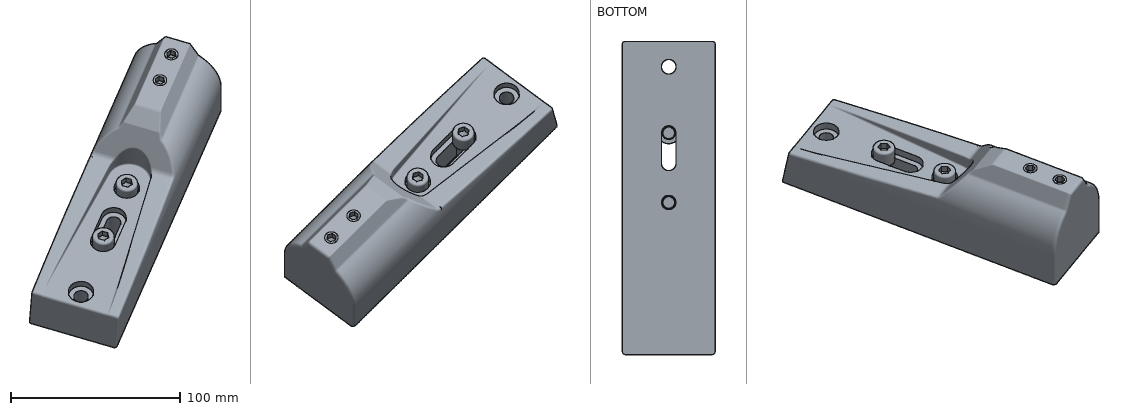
import cadquery as cq
import math


LENGTH = 185.0
WIDTH = 55.0
HEIGHT = 57.9
BACK_Y = LENGTH / 2
FRONT_Y = -LENGTH / 2
CROWN_RADIUS = WIDTH / 2
CROWN_CENTRE_Z = 24.5

RIDGE_TOP_WIDTH = 16.0
RIDGE_FLANK_ANGLE = 30.0
RIDGE_FOOT_Z = 44.4
RIDGE_ROOT_FILLET = 3.0

RIDGE_TOP_LENGTH = 53.0
NOSE_LENGTH = 11.0
NOSE_ANGLE = 30.0
SHOULDER_ANGLE = 49.0
VALLEY_FROM_BACK = 79.4
RAMP_ANGLE = 5.0
TOE_FACE_ANGLE = 10.0
PROFILE_FILLET = 5.0

SIDE_FILLET = 1.7
RIDGE_EDGE_FILLET = 1.0
BACK_FILLET = 2.0

POCKET_FLOOR_Z = 24.8
POCKET_RADIUS = 13.0
POCKET_CENTRE_FROM_BACK = 85.5
POCKET_WALL_ANGLE = 5.0
POCKET_FLOOR_FILLET = 1.0
POCKET_RIM_FILLET = 1.0

FIXED_HOLE_FROM_BACK = 90.0
SLOT_FRONT_FROM_BACK = 131.0
SLOT_TRAVEL = 18.0
SPARE_HOLE_FROM_BACK = 170.0
CLEARANCE_DIAMETER = 8.5
COUNTERBORE_DIAMETER = 15.0
SEAT_Z = 20.0

THREAD_DIAMETER = 8.0
HEAD_DIAMETER = 13.0
HEAD_HEIGHT = 10.4
HEAD_FILLET = 1.3
TIP_PROTRUSION = 8.0
TIP_CHAMFER = 0.5
CAP_SOCKET_FLATS = 6.0
SET_SOCKET_FLATS = 5.0
SOCKET_DEPTH = 4.0
SOCKET_TIP_ANGLE = 120.0
SET_SCREW_LENGTH = 14.0
FIRST_SET_SCREW_FROM_BACK = 12.0
SET_SCREW_PITCH = 20.0

SMALL = 0.4
SIDE_BAND = 3.7
SHOULDER_BAND = 2.4


def tan(degrees):
    return math.tan(math.radians(degrees))


NOSE_Y = BACK_Y - RIDGE_TOP_LENGTH
SHOULDER_Y = NOSE_Y - NOSE_LENGTH
SHOULDER_Z = HEIGHT - NOSE_LENGTH * tan(NOSE_ANGLE)
VALLEY_Y = BACK_Y - VALLEY_FROM_BACK
VALLEY_Z = SHOULDER_Z - (SHOULDER_Y - VALLEY_Y) * tan(SHOULDER_ANGLE)
RAMP_DROP_TO_FRONT = (VALLEY_Y - FRONT_Y) * tan(RAMP_ANGLE)
TOE_Z = (VALLEY_Z - RAMP_DROP_TO_FRONT) / (1 - tan(RAMP_ANGLE) * tan(TOE_FACE_ANGLE))
TOE_Y = FRONT_Y + TOE_Z * tan(TOE_FACE_ANGLE)

FIXED_HOLE_Y = BACK_Y - FIXED_HOLE_FROM_BACK
SLOT_FRONT_Y = BACK_Y - SLOT_FRONT_FROM_BACK
SPARE_HOLE_Y = BACK_Y - SPARE_HOLE_FROM_BACK
CAP_SCREW_YS = [FIXED_HOLE_Y, SLOT_FRONT_Y]
SET_SCREW_YS = [BACK_Y - FIRST_SET_SCREW_FROM_BACK - i * SET_SCREW_PITCH for i in range(2)]


def box(x_range, y_range, z_range):
    """Selector for the edges whose centre lies in the given box."""
    return cq.selectors.BoxSelector(*zip(x_range, y_range, z_range))


def both_sides(x_range, y_range, z_range):
    """The same box selector at +X and mirrored to -X."""
    near, far = x_range
    return box((near, far), y_range, z_range) + box((-far, -near), y_range, z_range)


def cylinder(diameter, bottom_z, top_z):
    return cq.Workplane("XY", origin=(0, 0, bottom_z)).circle(diameter / 2).extrude(top_z - bottom_z)




def crown_and_ridge():
    """Constant cross-section: round-topped block with a tapered ridge blended onto it."""
    section = cq.Workplane("XZ", origin=(0, BACK_Y, 0))
    crown = (
        section.moveTo(-CROWN_RADIUS, 0)
        .lineTo(CROWN_RADIUS, 0)
        .lineTo(CROWN_RADIUS, CROWN_CENTRE_Z)
        .threePointArc((0, CROWN_CENTRE_Z + CROWN_RADIUS), (-CROWN_RADIUS, CROWN_CENTRE_Z))
        .close()
        .extrude(LENGTH)
    )
    top = RIDGE_TOP_WIDTH / 2
    foot = top + (HEIGHT - RIDGE_FOOT_Z) * tan(RIDGE_FLANK_ANGLE)
    ridge = (
        section.polyline([(-foot, RIDGE_FOOT_Z), (foot, RIDGE_FOOT_Z), (top, HEIGHT), (-top, HEIGHT)])
        .close()
        .extrude(LENGTH)
    )
    root_edges = both_sides((top, foot), (FRONT_Y, BACK_Y - SMALL), (RIDGE_FOOT_Z, HEIGHT - SMALL))
    return crown.union(ridge).edges(root_edges).fillet(RIDGE_ROOT_FILLET)


def lengthwise_profile():
    """Side outline of the housing, extruded across the width."""
    outline = [
        (BACK_Y, 0),
        (BACK_Y, HEIGHT),
        (NOSE_Y, HEIGHT),
        (SHOULDER_Y, SHOULDER_Z),
        (VALLEY_Y, VALLEY_Z),
        (TOE_Y, TOE_Z),
        (FRONT_Y, 0),
    ]
    profile = cq.Workplane("YZ").polyline(outline).close().extrude(WIDTH / 2 + SMALL, both=True)
    rounded_corners = [(NOSE_Y, HEIGHT), (VALLEY_Y, VALLEY_Z)]
    for y, z in rounded_corners:
        corner = box((-SMALL, SMALL), (y - SMALL, y + SMALL), (z - SMALL, z + SMALL))
        profile = profile.edges(corner).fillet(PROFILE_FILLET)
    return profile


def pocket_cutter():
    """Flat-floored pocket with a round end and walls that spread towards the toe."""
    angle = math.radians(POCKET_WALL_ANGLE)
    centre_y = BACK_Y - POCKET_CENTRE_FROM_BACK
    tangent_x = POCKET_RADIUS * math.cos(angle)
    tangent_y = centre_y + POCKET_RADIUS * math.sin(angle)
    mouth_y = FRONT_Y - SMALL
    mouth_x = tangent_x + (tangent_y - mouth_y) * math.tan(angle)
    return (
        cq.Workplane("XY", origin=(0, 0, POCKET_FLOOR_Z))
        .moveTo(-mouth_x, mouth_y)
        .lineTo(-tangent_x, tangent_y)
        .threePointArc((0, centre_y + POCKET_RADIUS), (tangent_x, tangent_y))
        .lineTo(mouth_x, mouth_y)
        .close()
        .extrude(HEIGHT)
        .faces("<Z")
        .edges("not <Y")
        .fillet(POCKET_FLOOR_FILLET)
    )


def round_outside_edges(body):
    half = WIDTH / 2
    ridge_half = RIDGE_TOP_WIDTH / 2
    shoulder_half = ridge_half + (HEIGHT - SHOULDER_Z) * tan(RIDGE_FLANK_ANGLE)

    ramp_sides = both_sides((half - SIDE_BAND, half), (TOE_Y, VALLEY_Y), (TOE_Z + SMALL, VALLEY_Z))
    toe_edges = box((-half - SMALL, half + SMALL), (FRONT_Y, TOE_Y + SMALL), (SMALL, HEIGHT))
    body = body.edges(ramp_sides + toe_edges).fillet(SIDE_FILLET)

    long_edges = both_sides(
        (ridge_half - SMALL, ridge_half + SMALL), (NOSE_Y, BACK_Y - SMALL), (HEIGHT - SMALL, HEIGHT + SMALL)
    )
    short_edges = both_sides(
        (shoulder_half, shoulder_half + SHOULDER_BAND),
        (SHOULDER_Y - SHOULDER_BAND, SHOULDER_Y),
        (SHOULDER_Z - SHOULDER_BAND, SHOULDER_Z),
    )
    body = body.edges(long_edges + short_edges).fillet(RIDGE_EDGE_FILLET)

    return body.faces(">Y").edges("not <Z").fillet(BACK_FILLET)


def round_pocket_rim(body):
    """One straight wall edge leads the fillet right round the pocket."""
    wall_foot_z = POCKET_FLOOR_Z + POCKET_FLOOR_FILLET
    wall_edge = box((POCKET_RADIUS, WIDTH / 2 - SIDE_BAND), (TOE_Y / 2, 0), (wall_foot_z + SMALL, VALLEY_Z))
    return body.edges(wall_edge).fillet(POCKET_RIM_FILLET)


def base_hole_cutter(diameter, bottom_z):
    """Two round holes and a slot, cut upwards from the given level."""
    holes = cq.Workplane("XY", origin=(0, 0, bottom_z))
    depth = HEIGHT - bottom_z
    slot_centre_y = SLOT_FRONT_Y + SLOT_TRAVEL / 2
    rounds = holes.pushPoints([(0, FIXED_HOLE_Y), (0, SPARE_HOLE_Y)]).circle(diameter / 2).extrude(depth)
    slot = holes.center(0, slot_centre_y).slot2D(SLOT_TRAVEL + diameter, diameter, 90).extrude(depth)
    return rounds.union(slot)


def make_housing():
    body = crown_and_ridge().intersect(lengthwise_profile()).cut(pocket_cutter())
    body = round_pocket_rim(round_outside_edges(body))
    body = body.cut(base_hole_cutter(CLEARANCE_DIAMETER, 0))
    body = body.cut(base_hole_cutter(COUNTERBORE_DIAMETER, SEAT_Z))
    for y in SET_SCREW_YS:
        body = body.cut(set_screw_blank().translate((0, y, 0)))
    return body




def socket_cutter(across_flats, top_z):
    """Hexagon socket with a conical bottom."""
    corner_radius = across_flats / math.sqrt(3)
    flat_z = top_z - SOCKET_DEPTH
    tip_z = flat_z - corner_radius / tan(SOCKET_TIP_ANGLE / 2)
    drilled = (
        cq.Workplane("XZ")
        .polyline([(0, tip_z), (corner_radius, flat_z), (corner_radius, top_z), (0, top_z)])
        .close()
        .revolve(360, (0, 0, 0), (0, 1, 0))
    )
    hexagon = cq.Workplane("XY", origin=(0, 0, tip_z)).polygon(6, 2 * corner_radius).extrude(top_z - tip_z)
    return hexagon.intersect(drilled)


def set_screw_blank():
    return cylinder(THREAD_DIAMETER, HEIGHT - SET_SCREW_LENGTH, HEIGHT)


def make_set_screw(y):
    screw = set_screw_blank().cut(socket_cutter(SET_SOCKET_FLATS, HEIGHT))
    return screw.translate((0, y, 0))


def make_cap_screw(y):
    head_top = SEAT_Z + HEAD_HEIGHT
    shank = cylinder(THREAD_DIAMETER, -TIP_PROTRUSION, SEAT_Z).faces("<Z").chamfer(TIP_CHAMFER)
    head = cylinder(HEAD_DIAMETER, SEAT_Z, head_top).faces(">Z").edges().fillet(HEAD_FILLET)
    screw = shank.union(head).cut(socket_cutter(CAP_SOCKET_FLATS, head_top))
    return screw.translate((0, y, 0))


housing = make_housing()
set_screws = [make_set_screw(y) for y in SET_SCREW_YS]
cap_screws = [make_cap_screw(y) for y in CAP_SCREW_YS]

result = cq.Compound.makeCompound(
    [housing.val()] + [screw.val() for screw in set_screws] + [screw.val() for screw in cap_screws]
)